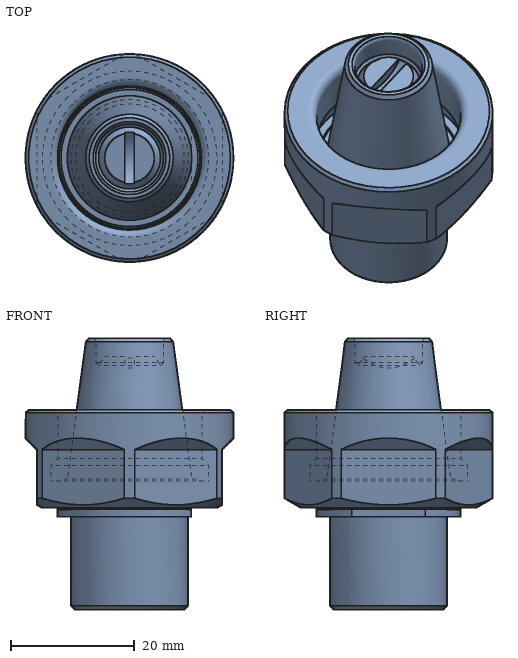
import cadquery as cq
import math

shank_radius = 9.5
shank_chamfer = 0.7

flange_radius = 23.35 / 2
flange_bottom = 15.05
flange_top = 16.3
flange_flat_x = 10.05

nut_radius = 16.85
nut_bottom = 16.5
nut_top = 32.4
nut_bottom_radius = 14.12
nut_bottom_angle = 30
nut_top_chamfer = 0.45
nut_top_chamfer_width = 0.55
half_across_flats = 15.0
flat_top = 25.95
flat_count = 6

bore_radius = 11.65
bore_lip_fillet = 1.35
relief_radius = 12.75
relief_top = 24.55
cavity_floor = 20.9
collar_radius = 11.4
collar_chamfer = 0.3

height = 44.0
nose_base_radius = 10.08
nose_tip_radius = 7.1
nose_chamfer = 0.55

socket_radius = 5.5
socket_lip_width = 0.4
socket_lip_arc = 0.65
socket_seat_radius = 5.0
socket_seat_height = 39.6
socket_cone_height = 0.5
plug_top = 41.05
plug_top_radius = 4.0
slot_width = 1.55
slot_length = 8.8
slot_depth = 1.85


def revolve(outline):
    """Turn a closed (radius, height) outline around the Z axis."""
    return outline.close().revolve(360, (0, 0, 0), (0, 1, 0))


def make_shank():
    shank = cq.Workplane("XY").circle(shank_radius).extrude(cavity_floor)
    return shank.faces("<Z").chamfer(shank_chamfer)


def make_flange():
    flange = cq.Workplane("XY").workplane(offset=flange_bottom)
    flange = flange.circle(flange_radius).extrude(flange_top - flange_bottom)
    beyond_flat = cq.Workplane("XY").box(
        flange_radius, 2 * flange_radius, height, centered=(False, True, False)
    )
    return flange.cut(beyond_flat.translate((flange_flat_x, 0, 0)))


def make_nut_body():
    cone_rise = (nut_radius - nut_bottom_radius) * math.tan(math.radians(nut_bottom_angle))
    return revolve(
        cq.Workplane("XZ")
        .moveTo(0, nut_bottom)
        .lineTo(nut_bottom_radius, nut_bottom)
        .lineTo(nut_radius, nut_bottom + cone_rise)
        .lineTo(nut_radius, nut_top - nut_top_chamfer)
        .lineTo(nut_radius - nut_top_chamfer_width, nut_top)
        .lineTo(0, nut_top)
    )


def make_flat_cutter():
    """Material outside one wrench flat, ending upward in a 45 degree slope."""
    reach = nut_radius - half_across_flats + 0.45
    return (
        cq.Workplane("XZ")
        .moveTo(half_across_flats, 0)
        .lineTo(half_across_flats, flat_top)
        .lineTo(half_across_flats + reach, flat_top + reach)
        .lineTo(half_across_flats + reach, 0)
        .close()
        .extrude(nut_radius, both=True)
    )


def make_cavity():
    """Bore with a rounded lip, widened near its floor by a 45 degree relief."""
    lip_radius = bore_radius + bore_lip_fillet
    return revolve(
        cq.Workplane("XZ")
        .moveTo(0, cavity_floor)
        .lineTo(relief_radius, cavity_floor)
        .lineTo(relief_radius, relief_top - (relief_radius - bore_radius))
        .lineTo(bore_radius, relief_top)
        .lineTo(bore_radius, nut_top - bore_lip_fillet)
        .radiusArc((lip_radius, nut_top), bore_lip_fillet)
        .lineTo(0, nut_top)
    )


def make_nose():
    """Tapered nose standing on a low chamfered collar."""
    collar_top = cavity_floor + collar_chamfer
    return revolve(
        cq.Workplane("XZ")
        .moveTo(0, cavity_floor)
        .lineTo(collar_radius, cavity_floor)
        .lineTo(collar_radius - collar_chamfer, collar_top)
        .lineTo(nose_base_radius, collar_top)
        .lineTo(nose_tip_radius, height - nose_chamfer)
        .lineTo(nose_tip_radius - nose_chamfer, height)
        .lineTo(0, height)
    )


def make_socket():
    """Socket space, leaving the chamfered plug standing in its middle."""
    lip_drop = math.sqrt(socket_lip_arc**2 - (socket_lip_arc - socket_lip_width) ** 2)
    return revolve(
        cq.Workplane("XZ")
        .moveTo(0, plug_top)
        .lineTo(plug_top_radius, plug_top)
        .lineTo(socket_seat_radius, socket_seat_height)
        .lineTo(socket_radius, socket_seat_height + socket_cone_height)
        .lineTo(socket_radius, height - lip_drop)
        .radiusArc((socket_radius + socket_lip_width, height), socket_lip_arc)
        .lineTo(0, height)
    )


def make_slot():
    """Screwdriver slot along Y with a round bottom."""
    half_length = slot_length / 2
    return (
        cq.Workplane("YZ")
        .moveTo(-half_length, plug_top)
        .threePointArc((0, plug_top - slot_depth), (half_length, plug_top))
        .close()
        .extrude(slot_width / 2, both=True)
    )


nut = make_nut_body()
flat_cutter = make_flat_cutter()
for index in range(flat_count):
    turn = index * 360 / flat_count
    nut = nut.cut(flat_cutter.rotate((0, 0, 0), (0, 0, 1), turn))
nut = nut.cut(make_cavity())

nose = make_nose().cut(make_socket()).cut(make_slot())
result = nut.union(make_shank()).union(make_flange()).union(nose)